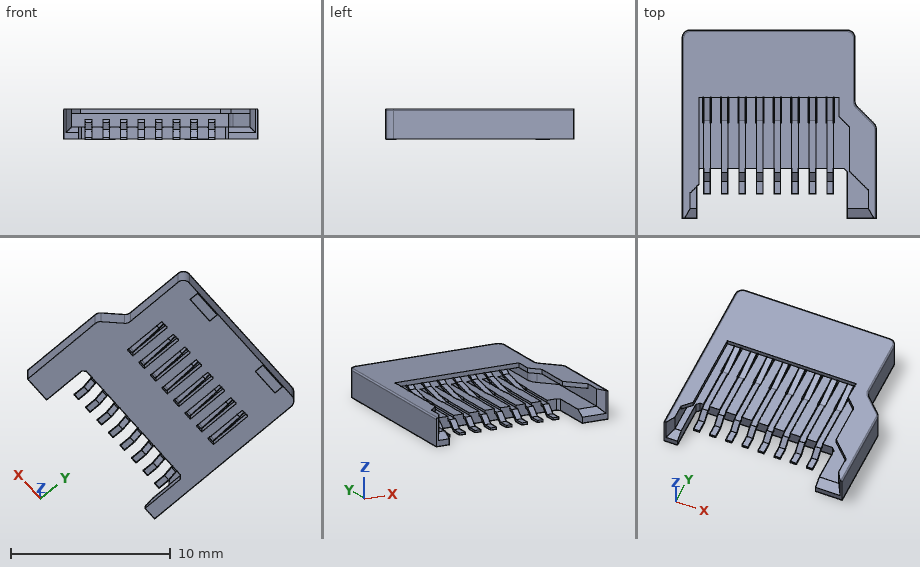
import cadquery as cq
import math


total_width = 12.16
depth = 11.8
back_width = 10.82
height = 1.9
shoulder_y = 5.8
corner_radius = 0.5
top_edge_radius = 0.1

wall = 0.5
floor_top = 0.75
roof_thickness = 0.3
roof_bottom = height - roof_thickness

lead_in_depth = 0.61
lead_in_rise = 0.35

window_left = 1.07
window_back = 7.58
window_right_back = 9.83
window_right_front = 10.48
window_right_slant_y = 5.72
left_flare_y = 2.15
right_flare_y = 2.94

notch_left = 0.92
notch_right = 10.34
notch_depth = 3.11
notch_chamfer = 0.2

contact_count = 8
contact_row_span = 7.71
contact_pitch = contact_row_span / (contact_count - 1)
contact_width = 0.41
contact_thickness = 0.15
first_contact_x = (back_width - contact_row_span) / 2
standoff = 0.04
foot_front = 1.53
foot_back = 2.3
riser_back = 2.87
shank_top = 0.61
spring_front = 6.12
spring_back = 8.22
spring_top = 1.05
bump_length = 0.49
bump_top = 1.24

slot_width = 0.51
slot_front = 5.98
slot_end_gap = 0.12
slot_back = spring_back + bump_length + slot_end_gap

pad_length = 1.87
pad_front = 11.13
pad_back = 11.75
pad_outer_x = first_contact_x - contact_width / 2

MARGIN = 0.12


def plan(points, bottom, top):
    """Prism with the given plan outline between two heights."""
    return cq.Workplane("XY").workplane(offset=bottom).polyline(points).close().extrude(top - bottom)


def stepped_outline(inset):
    """Housing plan moved inward by inset, with a 45 degree slant on its right side."""
    slant_sum = total_width + shoulder_y - inset * math.sqrt(2)
    right = total_width - inset
    back_right = back_width - inset
    return [
        (inset, inset),
        (right, inset),
        (right, slant_sum - right),
        (back_right, slant_sum - back_right),
        (back_right, depth - inset),
        (inset, depth - inset),
    ]


def inner_bend(inset):
    """Selector box round the vertical edge at the inner bend of the right side."""
    x, y = stepped_outline(inset)[3]
    return cq.selectors.BoxSelector(
        (x - MARGIN, y - MARGIN, -MARGIN), (x + MARGIN, y + MARGIN, height + MARGIN))


def housing():
    behind_front = cq.selectors.BoxSelector(
        (-MARGIN, MARGIN, -MARGIN), (total_width + MARGIN, depth + MARGIN, height + MARGIN))
    body = plan(stepped_outline(0), 0, height)
    body = body.edges("|Z").edges(behind_front).fillet(corner_radius)
    return body.faces(">Z").edges(behind_front).fillet(top_edge_radius)


def cavity():
    outline = stepped_outline(wall)
    outline[0] = (wall, -MARGIN)
    outline[1] = (total_width - wall, -MARGIN)
    space = plan(outline, floor_top, roof_bottom)
    return space.edges("|Z").edges(inner_bend(wall)).fillet(corner_radius + wall)


def window():
    left = wall
    right = total_width - wall
    left_flare = window_left - left
    right_flare = right - window_right_front
    right_slant = window_right_front - window_right_back
    outline = [
        (left, -MARGIN),
        (right, -MARGIN),
        (right, right_flare_y - right_flare),
        (window_right_front, right_flare_y),
        (window_right_front, window_right_slant_y),
        (window_right_back, window_right_slant_y + right_slant),
        (window_right_back, window_back),
        (window_left, window_back),
        (window_left, left_flare_y),
        (left, left_flare_y - left_flare),
    ]
    return plan(outline, floor_top, height + MARGIN)


def lead_in():
    """Tapered mouth that widens the cavity walls and lowers its floor toward the front."""
    def mouth(plane_y, spread):
        half_width = total_width / 2 - wall + spread
        low = floor_top - spread
        high = height + MARGIN
        return cq.Wire.makePolygon([
            cq.Vector(total_width / 2 - half_width, plane_y, low),
            cq.Vector(total_width / 2 + half_width, plane_y, low),
            cq.Vector(total_width / 2 + half_width, plane_y, high),
            cq.Vector(total_width / 2 - half_width, plane_y, high),
        ], close=True)
    return cq.Workplane(cq.Solid.makeLoft([mouth(0, lead_in_rise), mouth(lead_in_depth, 0)], True))


def floor_notch():
    outline = [
        (notch_left, -MARGIN),
        (notch_right, -MARGIN),
        (notch_right, notch_depth - notch_chamfer),
        (notch_right - notch_chamfer, notch_depth),
        (notch_left + notch_chamfer, notch_depth),
        (notch_left, notch_depth - notch_chamfer),
    ]
    return plan(outline, -MARGIN, floor_top + MARGIN)


def contact_space(x):
    """Groove above a contact's shank and the wider slot through the floor below its spring."""
    top = floor_top + MARGIN
    half_groove = contact_width / 2
    half_slot = slot_width / 2
    groove = cq.Workplane("XY").box(
        contact_width, slot_front - notch_depth + 2 * MARGIN, top - shank_top, centered=False
    ).translate((x - half_groove, notch_depth - MARGIN, shank_top))
    slot = cq.Workplane("XY").box(
        slot_width, slot_back - slot_front, top + MARGIN, centered=False
    ).translate((x - half_slot, slot_front, -MARGIN))
    return groove.union(slot)


def contact(x):
    """Bent strip: flat foot, riser, shank in the floor, rising spring and rounded contact bump."""
    foot_top = contact_thickness - standoff
    riser_angle = math.atan2(shank_top - foot_top, riser_back - foot_back)
    miter = contact_thickness * math.tan(riser_angle / 2)
    tip = spring_back + bump_length
    bump_rise = bump_top - spring_top
    bump_radius = (bump_length ** 2 + bump_rise ** 2) / (2 * bump_rise)
    half_sweep = math.asin(bump_length / bump_radius) / 2
    bump_middle = tip - bump_radius * math.sin(half_sweep)
    bump_middle_top = bump_top - bump_radius * (1 - math.cos(half_sweep))
    drop = contact_thickness
    profile = (
        cq.Workplane("YZ", origin=(x - contact_width / 2, 0, 0))
        .moveTo(foot_front, foot_top)
        .lineTo(foot_back, foot_top)
        .lineTo(riser_back, shank_top)
        .lineTo(spring_front, shank_top)
        .lineTo(spring_back, spring_top)
        .threePointArc((bump_middle, bump_middle_top), (tip, bump_top))
        .lineTo(tip, bump_top - drop)
        .threePointArc((bump_middle, bump_middle_top - drop), (spring_back, spring_top - drop))
        .lineTo(spring_front, shank_top - drop)
        .lineTo(riser_back + miter, shank_top - drop)
        .lineTo(foot_back + miter, -standoff)
        .lineTo(foot_front, -standoff)
        .close()
    )
    return profile.extrude(contact_width)


def solder_pad(left):
    return cq.Workplane("XY").box(
        pad_length, pad_back - pad_front, standoff + MARGIN, centered=False
    ).translate((left, pad_front, -standoff))


result = housing().cut(cavity()).cut(window()).cut(lead_in()).cut(floor_notch())

for index in range(contact_count):
    contact_x = first_contact_x + index * contact_pitch
    result = result.cut(contact_space(contact_x)).union(contact(contact_x))

for pad_left in (pad_outer_x, back_width - pad_outer_x - pad_length):
    result = result.union(solder_pad(pad_left))